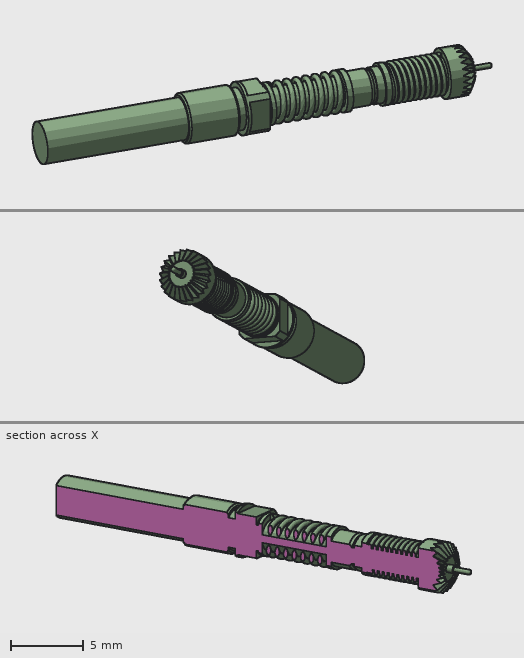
import cadquery as cq
import math

length = 33.5

tube_dia = 3.0
neck_dia = 2.6
groove_dia = 2.4
core_dia = 2.18
end_coil_dia = 2.95
seat_dia = 2.8
sleeve_dia = 3.6
flange_dia = 3.8
pin_dia = 0.37
pin_base_dia = 0.57

sleeve_rear = 10.45
sleeve_front = 14.2
sleeve_chamfer = 0.15
flange_rear = 14.75
flange_front = 14.97
square_front = 16.5
spring_seat = 16.65
open_spring_end = 17.0
collar_rear = 22.25
collar_front = 22.68
groove_ramp_rear = 24.15
groove_rear = 24.4
groove_front = 24.55
stop_rear = 25.15
stop_front = 25.6
close_spring_seat = 25.8
crown_rear = 29.8
crown_rim = 31.35
crown_face = 31.95
pin_base_front = 32.15
pin_tip_fillet = 0.17

crown_face_dia = 1.95
recess_dia = 1.88
recess_floor = 31.62
tooth_count = 24
valley_rim = 30.75

open_wire = 0.4
open_pitch = 0.7
open_turns = 7.25
open_top = 22.15

close_wire = 0.3
close_pitch = 0.4
close_turns = 10
close_bottom = 25.8

MINUS_X = 180.0
PLUS_Z = 270.0


def rod(dia, rear, front):
    """Cylinder on the part's axis between two stations."""
    return cq.Workplane("XZ", origin=(0, rear, 0)).circle(dia / 2).extrude(rear - front)


def spring(wire_dia, pitch, turns, rear, start_angle, left_handed):
    """Round-wire spring, wound along Z and then laid along Y."""
    mean_radius = (tube_dia - wire_dia) / 2
    path = cq.Wire.makeHelix(pitch, pitch * turns, mean_radius, lefthand=left_handed)
    section = cq.Workplane("XZ").center(mean_radius, 0).circle(wire_dia / 2)
    coil = section.sweep(cq.Workplane(obj=path), isFrenet=True)
    coil = coil.rotate((0, 0, 0), (0, 0, 1), start_angle)
    return coil.rotate((0, 0, 0), (1, 0, 0), -90).translate((0, rear, 0))


def stem():
    """Tail, flange, core, collars and neck."""
    body = rod(tube_dia, 0, flange_rear)
    body = body.union(rod(flange_dia, flange_rear, flange_front))
    body = body.union(rod(seat_dia, flange_front, spring_seat))
    body = body.union(rod(tube_dia, spring_seat, open_spring_end))
    body = body.union(rod(core_dia, open_spring_end, collar_rear))
    body = body.union(rod(tube_dia, collar_rear, collar_front))
    body = body.union(rod(neck_dia, collar_front, stop_rear))
    body = body.union(rod(tube_dia, stop_rear, stop_front))
    body = body.union(rod(end_coil_dia, stop_front, close_spring_seat))
    return body.union(rod(neck_dia, close_spring_seat, crown_rear))


def sleeve():
    """Crimp sleeve, chamfered at both ends."""
    return rod(sleeve_dia, sleeve_rear, sleeve_front).edges("%CIRCLE").chamfer(sleeve_chamfer)


def square():
    """Wrench square with its corners rounded to the flange diameter."""
    size = square_front - flange_front
    middle = (square_front + flange_front) / 2
    block = cq.Workplane().box(tube_dia, size, tube_dia).translate((0, middle, 0))
    return block.intersect(rod(flange_dia, flange_front, square_front))


def neck_groove():
    """Ring cut from the neck, square at the front and ramped at the rear."""
    outer = tube_dia / 2
    floor = groove_dia / 2
    ring = [
        (outer, groove_front),
        (floor, groove_front),
        (floor, groove_rear),
        (neck_dia / 2, groove_ramp_rear),
        (outer, groove_ramp_rear),
    ]
    return cq.Workplane("XY").polyline(ring).close().revolve(360, (0, 0, 0), (0, 1, 0))


def tooth_valley():
    """Four-sided V cutter that widens from the apex on the axis out past the crown's rim."""
    rim_radius = sleeve_dia / 2
    face_radius = crown_face_dia / 2
    ridge_slope = (crown_face - crown_rim) / (rim_radius - face_radius)
    apex = cq.Vector(0, crown_rim + ridge_slope * rim_radius, 0)
    half_angle = math.pi / tooth_count
    ridge_x = rim_radius * math.sin(half_angle)
    ridge_z = rim_radius * math.cos(half_angle)

    valley = cq.Vector(0, valley_rim, rim_radius) - apex
    left = cq.Vector(-ridge_x, crown_rim, ridge_z) - apex
    right = cq.Vector(ridge_x, crown_rim, ridge_z) - apex

    overrun = 1.2
    low = apex + valley * overrun
    high_left = low + (left - valley) * overrun**2
    high_right = low + (right - valley) * overrun**2
    corners = [
        (apex, low, high_left),
        (apex, high_right, low),
        (apex, high_left, high_right),
        (low, high_right, high_left),
    ]
    faces = [cq.Face.makeFromWires(cq.Wire.makePolygon(triangle, close=True)) for triangle in corners]
    return cq.Solid.makeSolid(cq.Shell.makeShell(faces))


def crown():
    """Blunt cone with a recessed face and V teeth around its front edge."""
    outline = [
        (0, crown_rear),
        (sleeve_dia / 2, crown_rear),
        (sleeve_dia / 2, crown_rim),
        (crown_face_dia / 2, crown_face),
        (recess_dia / 2, crown_face),
        (recess_dia / 2, recess_floor),
        (0, recess_floor),
    ]
    body = cq.Workplane("XY").polyline(outline).close().revolve(360, (0, 0, 0), (0, 1, 0))
    cutter = tooth_valley()
    for tooth in range(tooth_count):
        turned = cutter.rotate(cq.Vector(), cq.Vector(0, 1, 0), tooth * 360 / tooth_count)
        body = body.cut(cq.Workplane(turned))
    return body


def pin():
    """Contact pin with a rounded tip, on a short base that reaches into the crown."""
    needle = rod(pin_dia, crown_rear, length).faces(">Y").edges().fillet(pin_tip_fillet)
    return needle.union(rod(pin_base_dia, crown_rear, pin_base_front))


open_bottom = open_top - open_pitch * open_turns
open_start = MINUS_X + 360 * open_turns
open_spring = spring(open_wire, open_pitch, open_turns, open_bottom, open_start, True)
close_spring = spring(close_wire, close_pitch, close_turns, close_bottom, PLUS_Z, False)

result = stem().cut(neck_groove()).union(sleeve()).union(square())
result = result.union(open_spring).union(close_spring)
result = result.union(crown()).union(pin())